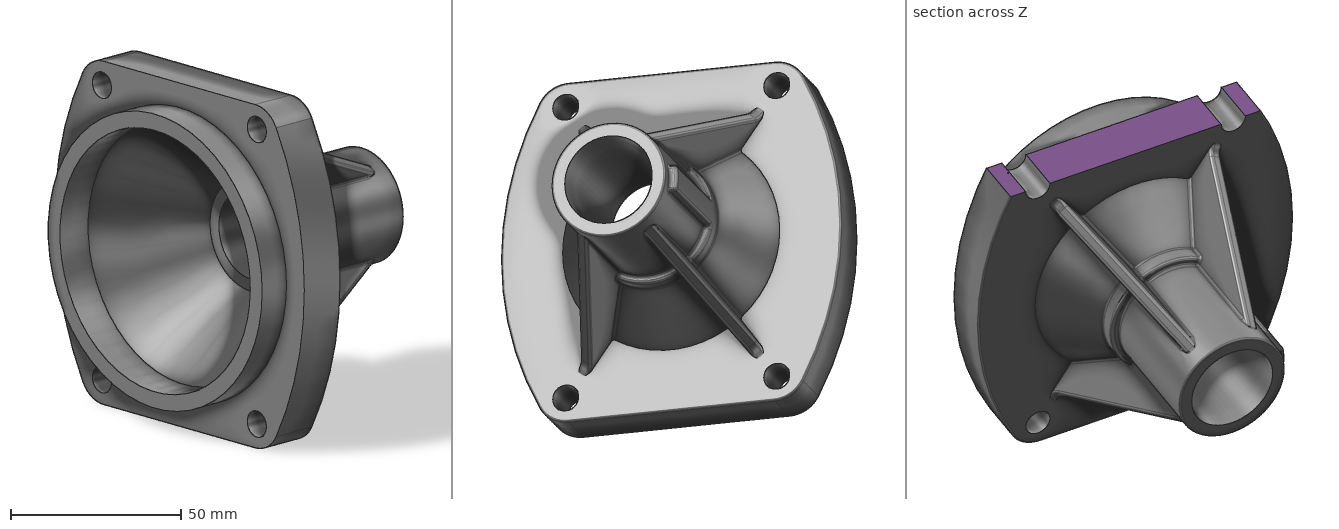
import cadquery as cq
import math


flange_size = 105.0
flange_thickness = 15.0
side_radius = 100.0
corner_radius = 10.0
bolt_hole_diameter = 8.0
bolt_x = 32.5
bolt_z = 45.0

spigot_diameter = 90.0
spigot_length = 10.0

total_length = 85.0
tube_radius = 35.1 / 2
collar_radius = 20.0
collar_bottom = 17.0
collar_top = 22.0
cone_base_radius = 33.5

key_width = 8.0
key_top = 55.8

rib_thickness = 4.0
rib_top = 54.1
rib_base_radius = 45.0
rib_root_radius = 15.8
rib_sink = 2.1
toe_radius = 4.5
toe_angle = math.radians(80)

mouth_diameter = 80.0
mouth_depth = 11.5
funnel_end_radius = 17.2
funnel_depth = 39.4
bore_diameter = 27.0

edge_round = 1.0
rim_round = 0.5

flange_back = spigot_length + flange_thickness


def revolve(points):
    """Solid of revolution about the Y axis from (radius, y) points."""
    return cq.Workplane("XY").polyline(points).close().revolve(360, (0, 0), (0, 1))


def flange():
    half = flange_size / 2
    side_center_offset = side_radius - half
    corner_x = math.sqrt(side_radius**2 - half**2) - side_center_offset
    plate = (
        cq.Workplane("XZ", origin=(0, flange_back, 0))
        .moveTo(-corner_x, half)
        .lineTo(corner_x, half)
        .threePointArc((half, 0), (corner_x, -half))
        .lineTo(-corner_x, -half)
        .threePointArc((-half, 0), (-corner_x, half))
        .close()
        .extrude(flange_thickness)
    )
    plate = plate.edges("|Y").fillet(corner_radius)
    return plate.faces(">Y").edges().fillet(rim_round)


def hub():
    """Solid spigot, cone, collar and tube in one revolution."""
    spigot_radius = spigot_diameter / 2
    collar_start = flange_back + collar_bottom
    collar_end = flange_back + collar_top
    solid = revolve([
        (0, 0),
        (spigot_radius, 0),
        (spigot_radius, spigot_length),
        (cone_base_radius, spigot_length),
        (cone_base_radius, flange_back),
        (collar_radius, collar_start),
        (collar_radius, collar_end),
        (tube_radius, collar_end),
        (tube_radius, total_length),
        (0, total_length),
    ])
    return solid.faces(">Y").edges().fillet(rim_round)


def key():
    """Bar on the -X side whose outer face continues the collar's cylinder."""
    length = key_top - collar_bottom
    sketch = cq.Workplane("XZ", origin=(0, flange_back + collar_bottom, 0))
    cylinder = sketch.circle(collar_radius).extrude(-length)
    bar = sketch.center(-collar_radius / 2, 0).rect(collar_radius, key_width).extrude(-length)
    return cylinder.intersect(bar)


def rib(x_side, z_side):
    """Sloping web in the plane through the Y axis and one bolt hole."""
    bolt_distance = math.hypot(bolt_x, bolt_z)
    outward = cq.Vector(x_side * bolt_x, 0, z_side * bolt_z) / bolt_distance
    plane = cq.Plane((0, flange_back, 0), outward, outward.cross(cq.Vector(0, 1, 0)))

    slope = (rib_base_radius - tube_radius) / rib_top
    ramp_angle = math.atan(slope)
    toe_height = toe_radius * (math.sin(toe_angle) - math.sin(ramp_angle))
    toe_start = rib_base_radius - slope * toe_height

    def toe_point(angle):
        """Point of the concave toe where it leans outward from the Y axis by this angle."""
        spread = toe_radius * (math.cos(ramp_angle) - math.cos(angle))
        height = toe_radius * (math.sin(toe_angle) - math.sin(angle))
        return toe_start + spread, height

    toe_tip = toe_point(toe_angle)
    return (
        cq.Workplane(plane)
        .moveTo(rib_root_radius, -rib_sink)
        .lineTo(toe_tip[0], -rib_sink)
        .lineTo(*toe_tip)
        .threePointArc(toe_point((ramp_angle + toe_angle) / 2), toe_point(ramp_angle))
        .lineTo(rib_root_radius, rib_top + (tube_radius - rib_root_radius) / slope)
        .close()
        .extrude(rib_thickness / 2, both=True)
    )


def is_web_edge(edge):
    """True for rib, key, collar and cone edges that rise above the flange, below the tube's rim."""
    margin = 0.1
    box = edge.BoundingBox()
    rises_from_flange = box.ymin > flange_back - margin and box.ymax > flange_back + margin
    return rises_from_flange and box.ymax < total_length - rim_round - margin


def cavity():
    """Short cylindrical mouth, conical funnel and through bore."""
    mouth_radius = mouth_diameter / 2
    bore_radius = bore_diameter / 2
    return revolve([
        (0, 0),
        (mouth_radius, 0),
        (mouth_radius, mouth_depth),
        (funnel_end_radius, funnel_depth),
        (bore_radius, funnel_depth),
        (bore_radius, total_length),
        (0, total_length),
    ])


def bolt_holes():
    return (
        cq.Workplane("XZ")
        .rect(2 * bolt_x, 2 * bolt_z, forConstruction=True)
        .vertices()
        .circle(bolt_hole_diameter / 2)
        .extrude(-flange_back)
    )


body = hub().union(key())
for x_side in (-1, 1):
    for z_side in (-1, 1):
        body = body.union(rib(x_side, z_side))
body = body.union(flange())

web_edges = [edge for edge in body.edges().vals() if is_web_edge(edge)]
body = body.newObject(web_edges).fillet(edge_round)

result = body.cut(cavity()).cut(bolt_holes())